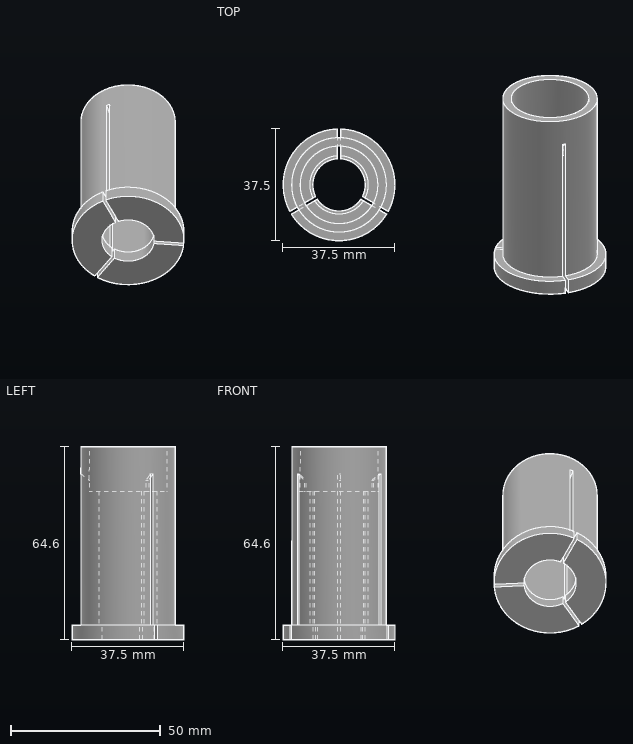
import cadquery as cq

total_height = 64.6
flange_diameter = 37.5
flange_height = 5.0
sleeve_diameter = 31.65

socket_diameter = 26.0
socket_depth = 15.0
bore_diameter = 19.5
lip_diameter = 17.45
lip_height = flange_height

slot_count = 3
slot_width = 1.05
slot_height = 55.55
slot_end_drop = 2.2
first_slot_angle = 90.0


def cylinder(diameter, bottom, top):
    """Solid cylinder on the Z axis between two heights."""
    return cq.Workplane("XY").workplane(offset=bottom).circle(diameter / 2).extrude(top - bottom)


def radial_slot(angle):
    """Cutter from the axis past the flange rim, with its closed end falling towards the bore."""
    socket_radius = socket_diameter / 2
    sleeve_radius = sleeve_diameter / 2
    inner_height = slot_height - slot_end_drop
    profile = [
        (0, 0),
        (flange_diameter, 0),
        (flange_diameter, slot_height),
        (sleeve_radius, slot_height),
        (socket_radius, inner_height),
        (0, inner_height),
    ]
    cutter = cq.Workplane("XZ").polyline(profile).close().extrude(slot_width / 2, both=True)
    return cutter.rotate((0, 0, 0), (0, 0, 1), angle)


body = cylinder(sleeve_diameter, 0, total_height)
body = body.union(cylinder(flange_diameter, 0, flange_height))

socket_floor = total_height - socket_depth
body = body.cut(cylinder(lip_diameter, 0, lip_height))
body = body.cut(cylinder(bore_diameter, lip_height, socket_floor))
body = body.cut(cylinder(socket_diameter, socket_floor, total_height))

for index in range(slot_count):
    body = body.cut(radial_slot(first_slot_angle + index * 360 / slot_count))

result = body